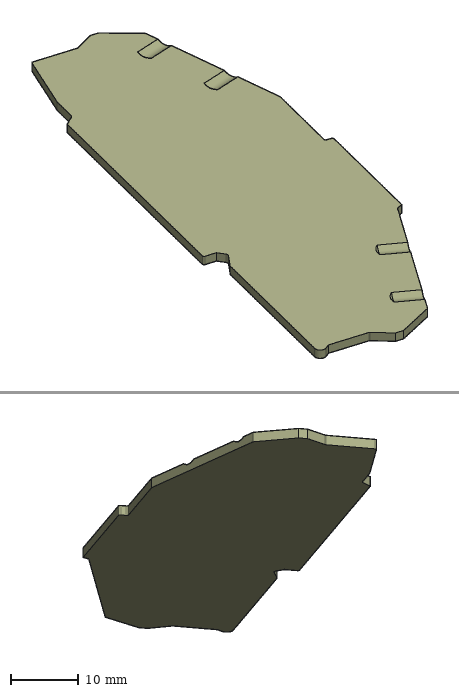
import cadquery as cq
import math

thickness = 1.5
corner_radius = 0.3
height = 32.6
tip_x = 92.42 / 2
wall_x = 44.15

tip_top_y = 16.12
tip_bottom_y = 14.75
wall_top_y = 11.45
shoulder_x = 42.7
tip_angle = 60
shoulder_y = tip_top_y + (tip_x - shoulder_x) * math.tan(math.radians(tip_angle))
slope_angle = 20
slope = math.tan(math.radians(slope_angle))

left_ledge_y = 31.2
raised_left_x = -4.4
raised_right_x = 16.4
notch_x = 16.9

left_corner_y = 3.6
left_step_y = 1.65
left_bevel_x = -32.9
left_step_x = -28.45
foot_left_x = -26.95

foot_right_x = 14.25
right_edge_y = 2.25
notch_peak_x = 15.5
notch_peak_y = 3.55
notch_peak_radius = 0.5
notch_end_x = 18.4

nub_top_y = 4.5
nub_corner_x = 45.85
nub_radius = 0.95

groove_radius = 2.4
groove_depth = 0.4
groove_length = 4.6
groove_cone_half_angle = 45
groove_distances = (3.75, 16.75)


def slope_y(x):
    """Height of the sloped shoulder edge at a given x."""
    return shoulder_y + (shoulder_x - abs(x)) * slope


def make_plate():
    ledge_start_x = -(shoulder_x - (left_ledge_y - shoulder_y) / slope)
    left_end = [
        (-wall_x, left_corner_y),
        (-wall_x, wall_top_y),
        (-tip_x, tip_bottom_y),
        (-tip_x, tip_top_y),
        (-shoulder_x, shoulder_y),
    ]
    top_edge = [
        (ledge_start_x, left_ledge_y),
        (raised_left_x, left_ledge_y),
        (raised_left_x, height),
        (raised_right_x, height),
        (notch_x, slope_y(notch_x)),
    ]
    right_end = [
        (shoulder_x, shoulder_y),
        (tip_x, tip_top_y),
        (tip_x, tip_bottom_y),
        (wall_x, wall_top_y),
    ]
    nub = [
        (wall_x, nub_top_y),
        (nub_corner_x, right_edge_y),
    ]
    bottom_edge = [
        (notch_end_x, right_edge_y),
        (notch_peak_x, notch_peak_y),
        (foot_right_x, right_edge_y),
        (foot_right_x, 0),
        (foot_left_x, 0),
        (left_step_x, left_step_y),
        (left_bevel_x, left_step_y),
    ]
    outline = left_end + top_edge + right_end + nub + bottom_edge
    return cq.Workplane("XY").polyline(outline).close().extrude(thickness)


def round_corner(plate, corner, radius):
    """Round the upright edge of the plate that stands at the given outline corner."""
    edge_middle = (corner[0], corner[1], thickness / 2)
    return plate.edges(cq.selectors.NearestToPointSelector(edge_middle)).fillet(radius)


def round_corners(plate):
    small_corners = [
        (-wall_x, left_corner_y),
        (left_step_x, left_step_y),
        (raised_left_x, left_ledge_y),
        (raised_left_x, height),
        (foot_right_x, 0),
    ]
    for side in (-1, 1):
        small_corners.append((side * wall_x, wall_top_y))
        small_corners.append((side * shoulder_x, shoulder_y))
    for corner in small_corners:
        plate = round_corner(plate, corner, corner_radius)
    plate = round_corner(plate, (notch_peak_x, notch_peak_y), notch_peak_radius)
    return round_corner(plate, (nub_corner_x, right_edge_y), nub_radius)


def make_groove_cutter(distance):
    """Cone-ended round bar lying across the right shoulder, square to its edge."""
    cone_length = groove_radius / math.tan(math.radians(groove_cone_half_angle))
    overrun = groove_radius
    bar = (
        cq.Workplane("XY")
        .moveTo(0, overrun)
        .lineTo(groove_radius, overrun)
        .lineTo(groove_radius, -groove_length)
        .lineTo(0, -groove_length - cone_length)
        .close()
        .revolve(360, (0, 0, 0), (0, 1, 0))
    )
    angle = math.radians(slope_angle)
    x = shoulder_x - distance * math.cos(angle)
    axis_z = thickness + groove_radius - groove_depth
    return bar.rotate((0, 0, 0), (0, 0, 1), -slope_angle).translate((x, slope_y(x), axis_z))


result = round_corners(make_plate())
for groove_distance in groove_distances:
    right_cutter = make_groove_cutter(groove_distance)
    result = result.cut(right_cutter).cut(right_cutter.mirror("YZ"))